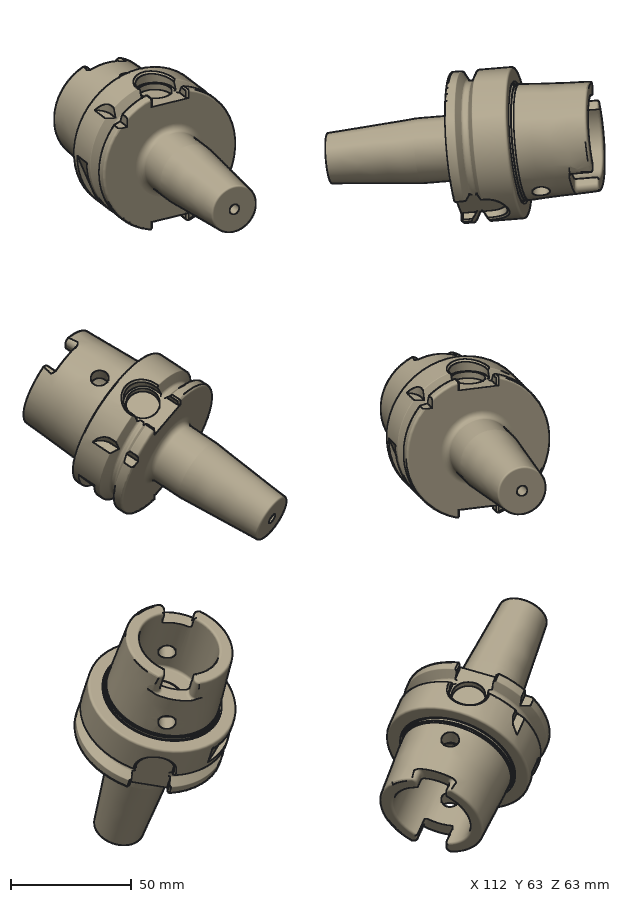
import cadquery as cq
import math


tail_x = -32.0
relief_x = -1.8
flange_end_x = 26.0
collar_end_x = 42.0
nose_x = 80.0

tail_radius = 22.7
taper_root_radius = 24.2
relief_depth = 0.17
relief_width = 1.0
face_recess_radius = 25.4
face_recess_floor_radius = 24.8
face_recess_depth = 0.7
rim_fillet = 1.0

bore_radius = 17.0
bore_floor_x = 0.0
bore_floor_fillet = 1.2

drive_slot_half_width = 6.3
drive_slot_depth_top = 5.7
drive_slot_depth_bottom = 9.9
lug_corner_radius = 2.5
slot_foot_fillet = 1.2

cross_hole_radius = 3.7
cross_hole_x = -9.1

center_seat_radius = 9.1
center_seat_depth = 0.3
drill_mouth_radius = 4.7
drill_radius = 4.4
drill_depth = 5.6
drill_tip_angle = 118
coolant_radius = 2.2

flange_radius = 31.5
flange_edge_fillet = 1.0
groove_x = 18.0
groove_radius = 27.3
groove_floor_width = 2.5
groove_half_angle = 30
groove_floor_fillet = 1.0
groove_lip_fillet = 0.6

collar_radius = 13.5
collar_fillet = 2.8
nose_radius = 10.5
nose_fillet = 0.8

keyway_half_width = 8.1
keyway_chamfer = 0.9
keyway_end_x = 13.2
keyway_floor = 26.4
pocket_radius = 7.0
pocket_floor = 23.6

notch_floor_z = 20.0
notch_wall_y = -20.3
notch_end_x = 12.1
notch_cutter_radius = 7.5

flat_start_x = 3.6
flat_length = 8.0
flat_distance = 29.0
flat_tilt = 22.5

tolerance = 0.01


def turn(outline):
    """Revolve a closed outline, drawn with Y as the radius, about the X axis."""
    return outline.revolve(360, (0, 0, 0), (1, 0, 0))


def turn_points(points):
    """Revolve a straight-sided (x, radius) outline about the X axis."""
    return turn(cq.Workplane("XY").polyline(points).close())


def half_turn(body):
    """Turn a body from the top side of the part to the bottom side."""
    return body.rotate((0, 0, 0), (1, 0, 0), 180)


def lies_on_rim(x, radius):
    """Edge test: lies in the plane at x, on the circle of this radius about the axis."""

    def matches(edge):
        middle = edge.positionAt(0.5)
        flat = edge.BoundingBox().xlen < tolerance
        at_station = abs(middle.x - x) < tolerance
        return flat and at_station and abs(math.hypot(middle.y, middle.z) - radius) < tolerance

    return matches


def make_drive_slot(depth):
    """Top drive slot cutter: the flared mouth rounds the lugs, the foot is filleted along both walls."""
    slot_share = drive_slot_depth_top / (relief_x - tail_x)
    blend_radius = tail_radius + (taper_root_radius - tail_radius) * slot_share
    corner_y = drive_slot_half_width + lug_corner_radius
    corner_z = math.sqrt((blend_radius - lug_corner_radius) ** 2 - corner_y**2)

    tangent_angle = math.atan2(corner_z, corner_y)
    middle_angle = (tangent_angle + math.pi) / 2
    tangent_y = corner_y + lug_corner_radius * math.cos(tangent_angle)
    tangent_z = corner_z + lug_corner_radius * math.sin(tangent_angle)
    middle_y = corner_y + lug_corner_radius * math.cos(middle_angle)
    middle_z = corner_z + lug_corner_radius * math.sin(middle_angle)

    flare_length = taper_root_radius / 2
    flare_y = tangent_y + flare_length * math.sin(tangent_angle)
    flare_z = tangent_z - flare_length * math.cos(tangent_angle)
    top_z = 2 * tail_radius

    cutter = (
        cq.Workplane("YZ", origin=(tail_x - depth, 0, 0))
        .moveTo(-drive_slot_half_width, 0)
        .lineTo(drive_slot_half_width, 0)
        .lineTo(drive_slot_half_width, corner_z)
        .threePointArc((middle_y, middle_z), (tangent_y, tangent_z))
        .lineTo(flare_y, flare_z)
        .lineTo(flare_y, top_z)
        .lineTo(-flare_y, top_z)
        .lineTo(-flare_y, flare_z)
        .lineTo(-tangent_y, tangent_z)
        .threePointArc((-middle_y, middle_z), (-drive_slot_half_width, corner_z))
        .close()
        .extrude(2 * depth)
    )

    def is_wall_foot(edge):
        return abs(abs(edge.Center().y) - drive_slot_half_width) < tolerance

    return cutter.faces(">X").edges().filter(is_wall_foot).fillet(slot_foot_fillet)


def make_tail():
    """Hollow taper with two drive slots and rounded tail rims."""
    tail = turn_points([
        (tail_x, bore_radius),
        (tail_x, tail_radius),
        (relief_x, taper_root_radius),
        (relief_x, bore_radius),
    ])
    tail = tail.cut(make_drive_slot(drive_slot_depth_top))
    tail = tail.cut(half_turn(make_drive_slot(drive_slot_depth_bottom)))
    return tail.faces("<X").edges().fillet(rim_fillet)


def make_root():
    """Short relieved neck joining the taper to the flange."""
    neck_radius = taper_root_radius - relief_depth
    neck_end_x = relief_x + relief_width
    return turn_points([
        (relief_x, 0),
        (relief_x, neck_radius),
        (neck_end_x, neck_radius),
        (neck_end_x + relief_depth, taper_root_radius),
        (face_recess_depth, taper_root_radius),
        (face_recess_depth, 0),
    ])


def make_keyway():
    """Top keyway cutter, with one round end and open past the flange end."""
    open_x = flange_end_x + keyway_half_width
    return (
        cq.Workplane("XY", origin=(0, 0, keyway_floor))
        .moveTo(open_x, keyway_half_width)
        .lineTo(keyway_end_x, keyway_half_width)
        .threePointArc(
            (keyway_end_x - keyway_half_width, 0),
            (keyway_end_x, -keyway_half_width),
        )
        .lineTo(open_x, -keyway_half_width)
        .close()
        .extrude(flange_radius)
    )


def make_flange():
    """Flange with gripper groove, chamfered keyways and contact-face recess."""
    half_floor = groove_floor_width / 2
    groove_depth = flange_radius - groove_radius
    half_mouth = half_floor + groove_depth * math.tan(math.radians(groove_half_angle))
    flange = turn_points([
        (0, 0),
        (0, flange_radius),
        (groove_x - half_mouth, flange_radius),
        (groove_x - half_floor, groove_radius),
        (groove_x + half_floor, groove_radius),
        (groove_x + half_mouth, flange_radius),
        (flange_end_x, flange_radius),
        (flange_end_x, 0),
    ])
    for x in (groove_x - half_floor, groove_x + half_floor):
        flange = flange.edges().filter(lies_on_rim(x, groove_radius)).fillet(groove_floor_fillet)
    for x in (0, flange_end_x):
        flange = flange.edges().filter(lies_on_rim(x, flange_radius)).fillet(flange_edge_fillet)

    keyway = make_keyway()
    flange = flange.cut(keyway.union(half_turn(keyway)))

    def is_keyway_mouth(edge):
        middle = edge.positionAt(0.5)
        on_rim = abs(math.hypot(middle.y, middle.z) - flange_radius) < tolerance
        return on_rim and edge.geomType() != "CIRCLE" and abs(middle.y) < keyway_half_width + tolerance

    flange = flange.edges().filter(is_keyway_mouth).chamfer(keyway_chamfer)

    for x in (groove_x - half_mouth, groove_x + half_mouth):
        flange = flange.edges().filter(lies_on_rim(x, flange_radius)).fillet(groove_lip_fillet)

    recess = turn_points([
        (0, 0),
        (0, face_recess_radius),
        (face_recess_depth, face_recess_floor_radius),
        (face_recess_depth, 0),
    ])
    return flange.cut(recess)


def make_nose():
    """Cylindrical collar and conical nose, flared into the flange by a concave fillet."""
    outline = (
        cq.Workplane("XY")
        .moveTo(flange_end_x, 0)
        .lineTo(flange_end_x, collar_radius + collar_fillet)
        .radiusArc((flange_end_x + collar_fillet, collar_radius), -collar_fillet)
        .lineTo(collar_end_x, collar_radius)
        .lineTo(nose_x, nose_radius)
        .lineTo(nose_x, 0)
        .close()
    )
    return turn(outline).faces(">X").edges().fillet(nose_fillet)


def make_upright_hole(x, radius, bottom_z):
    """Vertical round cutter on the axis plane, open at the top of the part."""
    return (
        cq.Workplane("XY", origin=(x, 0, bottom_z))
        .circle(radius)
        .extrude(2 * flange_radius - bottom_z)
    )


def make_notch():
    """Orientation notch cutter with a rounded end, open at the flange end."""
    center = (notch_end_x, notch_wall_y - notch_cutter_radius, notch_floor_z)
    run = flange_end_x - notch_end_x
    rounded_end = (
        cq.Workplane("XY", origin=center)
        .circle(notch_cutter_radius)
        .extrude(flange_radius)
    )
    channel = cq.Workplane("XY", origin=center).box(
        run, 2 * notch_cutter_radius, flange_radius, centered=(False, True, False)
    )
    return rounded_end.union(channel)


def make_flat():
    """Cutter for the flat milled across the flange rim."""
    block = cq.Workplane("XY", origin=(flat_start_x, -flat_distance - flange_radius, 0)).box(
        flat_length, flange_radius, 2 * flange_radius, centered=(False, False, True)
    )
    return block.rotate((0, 0, 0), (1, 0, 0), flat_tilt)


def make_center_bore():
    """Cutter for the bore past the taper: filleted floor, shallow seat, drilled hole, coolant passage."""
    seat_x = bore_floor_x + center_seat_depth
    drill_end_x = seat_x + drill_depth
    tip_length = (drill_radius - coolant_radius) / math.tan(math.radians(drill_tip_angle / 2))
    outline = (
        cq.Workplane("XY")
        .moveTo(relief_x, 0)
        .lineTo(relief_x, bore_radius)
        .lineTo(bore_floor_x - bore_floor_fillet, bore_radius)
        .radiusArc((bore_floor_x, bore_radius - bore_floor_fillet), bore_floor_fillet)
        .lineTo(bore_floor_x, center_seat_radius)
        .lineTo(seat_x, center_seat_radius)
        .lineTo(seat_x, drill_mouth_radius)
        .lineTo(seat_x + drill_mouth_radius - drill_radius, drill_radius)
        .lineTo(drill_end_x, drill_radius)
        .lineTo(drill_end_x + tip_length, coolant_radius)
        .lineTo(nose_x, coolant_radius)
        .lineTo(nose_x, 0)
        .close()
    )
    return turn(outline)


result = make_tail().union(make_root()).union(make_flange()).union(make_nose())

cutters = [
    make_upright_hole(keyway_end_x, pocket_radius, pocket_floor),
    make_upright_hole(cross_hole_x, cross_hole_radius, -flange_radius),
    make_notch(),
    make_flat(),
    make_center_bore(),
]
for cutter in cutters:
    result = result.cut(cutter)
result = cq.Workplane(result.solids().val())